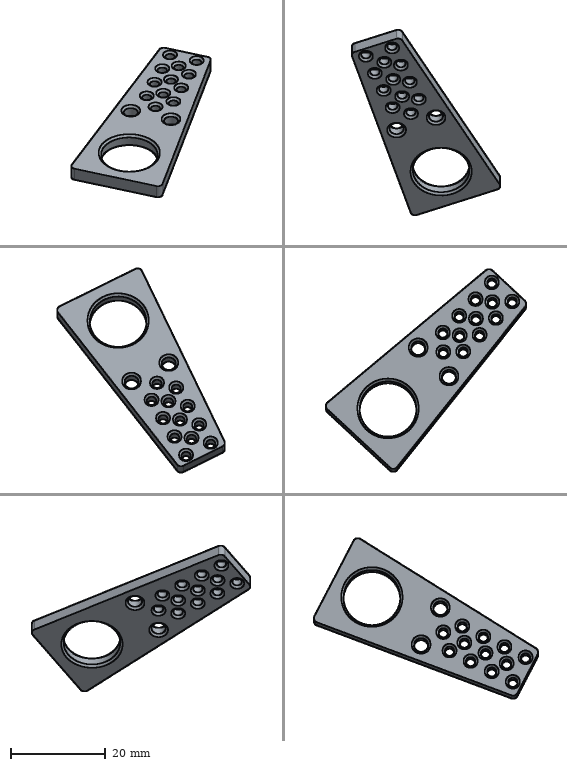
import cadquery as cq

length = 46.0
thickness = 3.0
wide_end_width = 20.6
narrow_end_width = 11.3
corner_radius = 1.0

chamfer = 0.5

small_diameter = 2.0
row_count = 4
row_pitch = 5.0
column_offset = 3.0
end_margin = 2.0
middle_column_shift = 3.0

medium_diameter = 3.0
medium_offset = 4.5
medium_y = length / 2

large_diameter = 12.0
large_y = 9.0


def make_plate():
    outline = [
        (-wide_end_width / 2, 0),
        (wide_end_width / 2, 0),
        (narrow_end_width / 2, length),
        (-narrow_end_width / 2, length),
    ]
    plate = cq.Workplane("XY").polyline(outline).close().extrude(thickness)
    return plate.edges("|Z").fillet(corner_radius)


def small_hole_centers():
    centers = []
    for row in range(row_count):
        y = length - end_margin - row * row_pitch
        centers.append((-column_offset, y))
        centers.append((column_offset, y))
        centers.append((0, y - middle_column_shift))
    return centers


def cut_chamfered_holes(body, centers, diameter):
    """Cut through holes with a 45 degree chamfer at both faces."""
    bore_radius = diameter / 2
    mouth_radius = bore_radius + chamfer
    half_profile = [
        (0, 0),
        (mouth_radius, 0),
        (bore_radius, chamfer),
        (bore_radius, thickness - chamfer),
        (mouth_radius, thickness),
        (0, thickness),
    ]
    cutter = cq.Workplane("XZ").polyline(half_profile).close().revolve(360, (0, 0), (0, 1))
    for x, y in centers:
        body = body.cut(cutter.translate((x, y, 0)))
    return body


medium_hole_centers = [(-medium_offset, medium_y), (medium_offset, medium_y)]

result = make_plate()
result = cut_chamfered_holes(result, small_hole_centers(), small_diameter)
result = cut_chamfered_holes(result, medium_hole_centers, medium_diameter)
result = cut_chamfered_holes(result, [(0, large_y)], large_diameter)